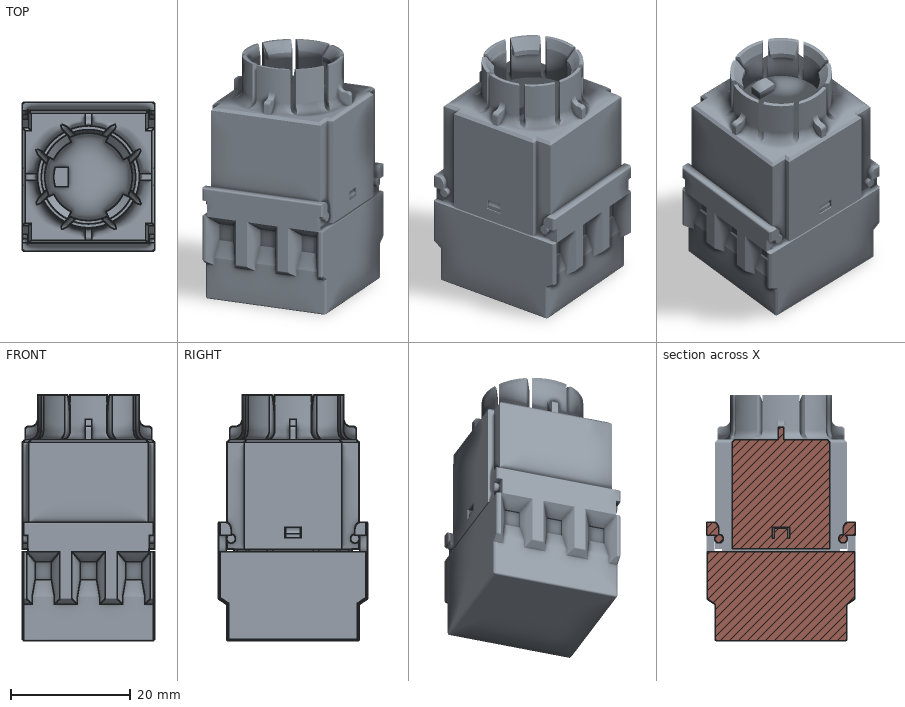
import cadquery as cq
import math

BASE_WIDTH = 22.2
BASE_HALF_X = BASE_WIDTH / 2
FOOT_HALF_Y = 11.1
WALL_SPAN = 25.0
WALL_OUTER_Y = WALL_SPAN / 2
WALL_INNER_Y = 11.15
STEP_LOW_Z = 6.1
STEP_HIGH_Z = 7.05
BASE_TOP_Z = 14.95
WALL_TOP_Z = 19.9
BASE_EDGE = 0.3

WALL_NOTCH_TOP_Z = 17.67
WALL_NOTCH_HALF_X = 10.18

ARM_TIP_Y = 10.4
ARM_CURVE_Z = 18.65
ARM_CURVE_R = 1.4
PIN_OUTER_X = 11.0
PIN_DIA = 1.5
PIN_Z = 17.1

POCKET_PITCH = 7.6
POCKET_MOUTH_HALF_X = 2.8
POCKET_BACK_HALF_X = 1.35
POCKET_BACK_Y = 10.35
POCKET_BACK_TOP_Z = 13.23
POCKET_RECESS = 0.4
RAMP_TOP_Z = 10.25
RAMP_BOTTOM_Z = 7.4

NECK_HALF_X = 8.85
NECK_HALF_Y = 9.9
PAD_DEPTH = 0.82
PAD_SPANS_Y = [(3.38, 4.3), (7.35, 7.83), (9.3, NECK_HALF_Y)]

BODY_HALF = 11.1
BODY_BOTTOM_Z = 15.35
BODY_TOP_Z = 33.7
BODY_CHAMFER = 0.45
CORNER_X = 10.05
CORNER_Y = 8.2

WINDOW_HALF_Y = 1.4
WINDOW_BOTTOM_Z = 17.25
WINDOW_TOP_Z = 19.0
WINDOW_DEPTH = 0.82
CATCH_HALF_Y = 1.2
CATCH_EDGE_Z = 17.95
CATCH_RECESS = 0.15

COLLAR_TOP_Z = 41.2
COLLAR_OUTER_R = 8.53
COLLAR_INNER_R = 7.35
COLLAR_MOUTH_R = 7.9
COLLAR_FILLET = 1.52
TAPER_END_Z = 39.45

HOOK_TIP_R = 6.5
HOOK_BOTTOM_Z = 38.6
HOOK_ANGLE = 37.4

SLOT_WIDTH = 0.9
SLOT_OFFSET = 2.95

RIB_WIDTH = 1.07
RIB_OUTER_R = 10.65
RIB_TOP_Z = 35.93
RIB_OUTER_ROUND = 0.58
RIB_INNER_ROUND = 1.15

KEY_INNER_X = 3.4
KEY_OUTER_R = 5.8
KEY_HALF_Y = 1.65
KEY_HEIGHT = 1.5

OVERLAP = 0.2


def span_box(x0, x1, y0, y1, z0, z1):
    """Box between two corner points."""
    return cq.Workplane("XY").box(x1 - x0, y1 - y0, z1 - z0, centered=False).translate((x0, y0, z0))


def with_mirror(shape, plane):
    return shape.union(shape.mirror(plane))


def is_inside_step(edge):
    """True for the concave edges where the foot meets the overhang."""
    return math.isclose(edge.Center().z, STEP_LOW_Z)


def make_base():
    half_outline = [
        (FOOT_HALF_Y, 0),
        (FOOT_HALF_Y, STEP_LOW_Z),
        (WALL_OUTER_Y, STEP_HIGH_Z),
        (WALL_OUTER_Y, WALL_TOP_Z),
    ]
    outline = half_outline + [(-y, z) for y, z in reversed(half_outline)]
    block = cq.Workplane("YZ").polyline(outline).close().extrude(BASE_HALF_X, both=True)
    block = block.faces("<X or >X").edges("not(>Z)").chamfer(BASE_EDGE)
    outer_long_edges = block.edges("|X").filter(lambda edge: not is_inside_step(edge))
    block = outer_long_edges.fillet(BASE_EDGE)
    channel = span_box(
        -BASE_HALF_X, BASE_HALF_X, -WALL_INNER_Y, WALL_INNER_Y, BASE_TOP_Z, WALL_TOP_Z
    )
    end_notch = span_box(
        WALL_NOTCH_HALF_X, BASE_HALF_X, -WALL_OUTER_Y, WALL_OUTER_Y, BASE_TOP_Z, WALL_NOTCH_TOP_Z
    )
    return block.cut(channel).cut(with_mirror(end_notch, "YZ"))


def make_pocket():
    """Middle pocket of the -Y side: the side profile within a tapering plan, plus a recess."""
    mouth_y = WALL_OUTER_Y + OVERLAP
    top_slope = (BASE_TOP_Z - POCKET_BACK_TOP_Z) / (WALL_OUTER_Y - POCKET_BACK_Y)
    side_slope = (POCKET_MOUTH_HALF_X - POCKET_BACK_HALF_X) / (WALL_OUTER_Y - POCKET_BACK_Y)
    mouth_half_x = POCKET_MOUTH_HALF_X + OVERLAP * side_slope
    pocket_bottom_z = STEP_LOW_Z - OVERLAP
    profile = [
        (-mouth_y, BASE_TOP_Z + OVERLAP * top_slope),
        (-POCKET_BACK_Y, POCKET_BACK_TOP_Z),
        (-POCKET_BACK_Y, RAMP_TOP_Z),
        (-FOOT_HALF_Y, RAMP_BOTTOM_Z),
        (-FOOT_HALF_Y, pocket_bottom_z),
        (-mouth_y, pocket_bottom_z),
    ]
    plan = [
        (-mouth_half_x, -mouth_y),
        (mouth_half_x, -mouth_y),
        (POCKET_BACK_HALF_X, -POCKET_BACK_Y),
        (-POCKET_BACK_HALF_X, -POCKET_BACK_Y),
    ]
    side_shape = cq.Workplane("YZ").polyline(profile).close().extrude(mouth_half_x, both=True)
    plan_shape = cq.Workplane("XY").polyline(plan).close().extrude(WALL_TOP_Z)
    recess = span_box(
        -POCKET_BACK_HALF_X,
        POCKET_BACK_HALF_X,
        -POCKET_BACK_Y,
        -POCKET_BACK_Y + POCKET_RECESS,
        RAMP_TOP_Z,
        POCKET_BACK_TOP_Z,
    )
    return side_shape.intersect(plan_shape).union(recess)


def cut_pockets(base):
    pocket_pair = with_mirror(make_pocket(), "XZ")
    for column in (-1, 0, 1):
        base = base.cut(pocket_pair.translate((column * POCKET_PITCH, 0, 0)))
    return base


def make_latch_arms():
    """Curved arm with a round pin below its tip, at all four corners."""
    arm = (
        cq.Workplane("YZ", origin=(WALL_NOTCH_HALF_X, 0, 0))
        .moveTo(WALL_INNER_Y + OVERLAP, WALL_TOP_Z)
        .lineTo(FOOT_HALF_Y, WALL_TOP_Z)
        .radiusArc((ARM_TIP_Y, ARM_CURVE_Z), -ARM_CURVE_R)
        .lineTo(ARM_TIP_Y, WALL_NOTCH_TOP_Z)
        .lineTo(WALL_INNER_Y + OVERLAP, WALL_NOTCH_TOP_Z)
        .close()
        .extrude(BASE_HALF_X - WALL_NOTCH_HALF_X)
    )
    pin = (
        cq.Workplane("YZ", origin=(WALL_NOTCH_HALF_X, ARM_TIP_Y, PIN_Z))
        .circle(PIN_DIA / 2)
        .extrude(PIN_OUTER_X - WALL_NOTCH_HALF_X)
    )
    return with_mirror(with_mirror(arm.union(pin), "XZ"), "YZ")


def make_neck():
    z0 = BASE_TOP_Z - OVERLAP
    z1 = BODY_BOTTOM_Z + OVERLAP
    neck = span_box(-NECK_HALF_X, NECK_HALF_X, -NECK_HALF_Y, NECK_HALF_Y, z0, z1)
    pad_x = NECK_HALF_X + PAD_DEPTH
    for y0, y1 in PAD_SPANS_Y:
        neck = neck.union(with_mirror(span_box(-pad_x, pad_x, y0, y1, z0, z1), "XZ"))
    return neck


def make_body():
    body = span_box(-BODY_HALF, BODY_HALF, -BODY_HALF, BODY_HALF, BODY_BOTTOM_Z, BODY_TOP_Z)
    corner = span_box(CORNER_X, BODY_HALF, CORNER_Y, BODY_HALF, BODY_BOTTOM_Z, BODY_TOP_Z)
    body = body.cut(with_mirror(with_mirror(corner, "XZ"), "YZ"))
    return body.faces(">Z").edges().chamfer(BODY_CHAMFER)


def make_catch_window():
    """Window in the -X face, less the catch with its sloped top that fills its lower half."""
    front_x = -BODY_HALF + CATCH_RECESS
    back_x = -BODY_HALF + WINDOW_DEPTH
    window = span_box(
        -BODY_HALF, back_x, -WINDOW_HALF_Y, WINDOW_HALF_Y, WINDOW_BOTTOM_Z, WINDOW_TOP_Z
    )
    catch = (
        cq.Workplane("XZ")
        .polyline(
            [
                (front_x, WINDOW_BOTTOM_Z),
                (front_x, CATCH_EDGE_Z),
                (back_x, WINDOW_TOP_Z),
                (back_x, WINDOW_BOTTOM_Z),
            ]
        )
        .close()
        .extrude(CATCH_HALF_Y, both=True)
    )
    return window.cut(catch)


def make_hooks():
    profile = [
        (COLLAR_MOUTH_R, COLLAR_TOP_Z),
        (HOOK_TIP_R, TAPER_END_Z),
        (HOOK_TIP_R, HOOK_BOTTOM_Z),
        (COLLAR_MOUTH_R, HOOK_BOTTOM_Z),
    ]
    hook = cq.Workplane("XZ").polyline(profile).close().revolve(HOOK_ANGLE, (0, 0), (0, 1))
    hook = hook.rotate((0, 0, 0), (0, 0, 1), -HOOK_ANGLE / 2)
    hooks = cq.Workplane("XY")
    for angle in (45, 135, 225, 315):
        hooks = hooks.union(hook.rotate((0, 0, 0), (0, 0, 1), angle))
    return hooks


def make_slots():
    """Round-bottomed slots along both diagonals, a pair on each."""
    reach = COLLAR_OUTER_R + COLLAR_FILLET
    radius = SLOT_WIDTH / 2
    straight_z = BODY_TOP_Z + radius
    slots = cq.Workplane("XY")
    for offset in (-SLOT_OFFSET, SLOT_OFFSET):
        upper = span_box(-reach, reach, offset - radius, offset + radius, straight_z, COLLAR_TOP_Z)
        bottom = (
            cq.Workplane("YZ", origin=(0, offset, straight_z)).circle(radius).extrude(reach, both=True)
        )
        pair_member = upper.union(bottom)
        for angle in (45, 135):
            slots = slots.union(pair_member.rotate((0, 0, 0), (0, 0, 1), angle))
    above_floor = span_box(-reach, reach, -reach, reach, BODY_TOP_Z, COLLAR_TOP_Z)
    return slots.intersect(above_floor)


def make_collar():
    floor_z = BODY_TOP_Z - OVERLAP
    foot_r = COLLAR_OUTER_R + COLLAR_FILLET
    ring = (
        cq.Workplane("XZ")
        .moveTo(COLLAR_INNER_R, BODY_TOP_Z)
        .lineTo(COLLAR_INNER_R, TAPER_END_Z)
        .lineTo(COLLAR_MOUTH_R, COLLAR_TOP_Z)
        .lineTo(COLLAR_OUTER_R, COLLAR_TOP_Z)
        .lineTo(COLLAR_OUTER_R, BODY_TOP_Z + COLLAR_FILLET)
        .radiusArc((foot_r, BODY_TOP_Z), -COLLAR_FILLET)
        .lineTo(foot_r, floor_z)
        .lineTo(COLLAR_INNER_R, floor_z)
        .close()
        .revolve(360, (0, 0), (0, 1))
    )
    return ring.union(make_hooks()).cut(make_slots())


def make_ribs():
    inner_r = COLLAR_OUTER_R - OVERLAP
    rib = (
        cq.Workplane("XZ")
        .moveTo(inner_r, BODY_TOP_Z)
        .lineTo(inner_r, RIB_TOP_Z + RIB_INNER_ROUND)
        .lineTo(COLLAR_OUTER_R, RIB_TOP_Z + RIB_INNER_ROUND)
        .radiusArc((COLLAR_OUTER_R + RIB_INNER_ROUND, RIB_TOP_Z), -RIB_INNER_ROUND)
        .lineTo(RIB_OUTER_R - RIB_OUTER_ROUND, RIB_TOP_Z)
        .radiusArc((RIB_OUTER_R, RIB_TOP_Z - RIB_OUTER_ROUND), RIB_OUTER_ROUND)
        .lineTo(RIB_OUTER_R, BODY_TOP_Z)
        .close()
        .extrude(RIB_WIDTH / 2, both=True)
    )
    ribs = cq.Workplane("XY")
    for angle in (0, 90, 180, 270):
        ribs = ribs.union(rib.rotate((0, 0, 0), (0, 0, 1), angle))
    return ribs


def make_key():
    z0 = BODY_TOP_Z - OVERLAP
    z1 = BODY_TOP_Z + KEY_HEIGHT
    block = span_box(-KEY_OUTER_R, -KEY_INNER_X, -KEY_HALF_Y, KEY_HALF_Y, z0, z1)
    return block.intersect(cq.Workplane("XY").circle(KEY_OUTER_R).extrude(COLLAR_TOP_Z))


base = cut_pockets(make_base()).union(make_latch_arms())
body = make_body().cut(with_mirror(make_catch_window(), "YZ"))
result = base.union(make_neck()).union(body)
result = result.union(make_collar()).union(make_ribs()).union(make_key())